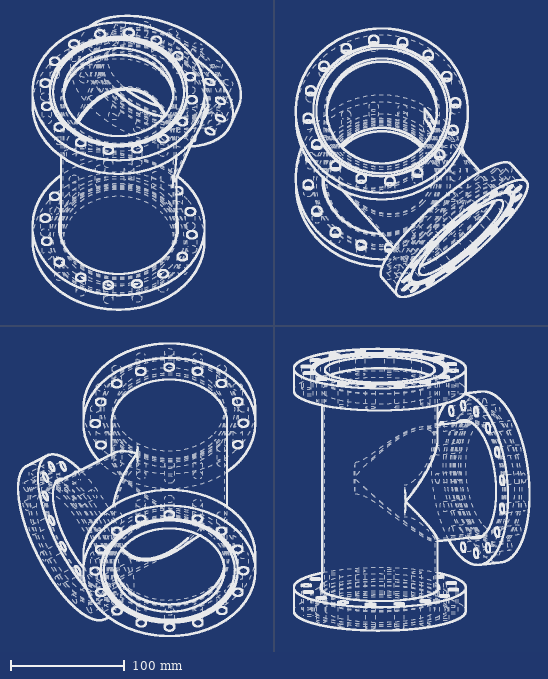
import cadquery as cq

port_reach = 109.5

tube_od = 101.6
tube_id = 97.5

flange_od = 151.5
flange_bore = 96.8
bolt_count = 16
bolt_circle = 130.3
bolt_hole = 8.5
knife_edge_od = 115.2
knife_recess = 1.0
knife_drop = 0.96
tube_socket_id = 101.9
tube_setback = 11.2

fixed_thickness = 20.0
gasket_recess_od = 120.7

ring_thickness = 21.2
ring_seat_id = 120.7
ring_neck_id = 104.7
ring_lip = 6.8
insert_od = 120.5

tube_end = port_reach - tube_setback
knife_tip = port_reach - knife_recess
knife_root = knife_tip - knife_drop
fixed_back = port_reach - fixed_thickness
ring_back = port_reach - ring_thickness
insert_back = ring_back + ring_lip

LOWER = 180
BRANCH = -90


def cylinder(diameter, start, end):
    """Round bar along +Z between two heights."""
    return cq.Workplane("XY").workplane(offset=start).circle(diameter / 2).extrude(end - start)


def to_port(body, angle):
    """Turn a body built on the +Z port onto another port."""
    return body.rotate((0, 0, 0), (1, 0, 0), angle)


def revolve_section(points):
    """Revolve a closed (radius, height) half section about the port axis."""
    return cq.Workplane("XZ").polyline(points).close().revolve(360, (0, 0, 0), (0, 1, 0))


def bolt_holes(start):
    """Through-hole cutters from a flange's rear face; the pattern straddles the X and Y axes."""
    return (
        cq.Workplane("XY").workplane(offset=start)
        .polarArray(bolt_circle / 2, 180 / bolt_count, 360, bolt_count)
        .circle(bolt_hole / 2)
        .extrude(port_reach - start)
    )


def make_run_tube():
    """Straight tube with an opening, from its axis outward, that fits the branch tube."""
    tube = cylinder(tube_od, -tube_end, tube_end).cut(cylinder(tube_id, -tube_end, tube_end))
    return tube.cut(to_port(cylinder(tube_od, 0, tube_end), BRANCH))


def make_branch_tube():
    """Branch tube whose inner end is trimmed flush with the bore of the run tube."""
    tube = cylinder(tube_od, 0, tube_end).cut(cylinder(tube_id, 0, tube_end))
    return to_port(tube, BRANCH).cut(cylinder(tube_id, -tube_end, tube_end))


def make_fixed_flange():
    """One-piece flange with the gasket recess and knife edge in its face."""
    flange = revolve_section([
        (flange_bore / 2, knife_tip),
        (knife_edge_od / 2, knife_tip),
        (gasket_recess_od / 2, knife_root),
        (gasket_recess_od / 2, port_reach),
        (flange_od / 2, port_reach),
        (flange_od / 2, fixed_back),
        (tube_socket_id / 2, fixed_back),
        (tube_socket_id / 2, tube_end),
        (flange_bore / 2, tube_end),
    ])
    return flange.cut(bolt_holes(fixed_back))


def make_bolt_ring():
    """Outer ring of a rotatable flange, stepped to retain the insert."""
    ring = revolve_section([
        (ring_seat_id / 2, port_reach),
        (flange_od / 2, port_reach),
        (flange_od / 2, ring_back),
        (ring_neck_id / 2, ring_back),
        (ring_neck_id / 2, insert_back),
        (ring_seat_id / 2, insert_back),
    ])
    return ring.cut(bolt_holes(ring_back))


def make_insert():
    """Knife-edge insert that sits inside a bolt ring and carries the tube end."""
    return revolve_section([
        (flange_bore / 2, knife_tip),
        (knife_edge_od / 2, knife_tip),
        (insert_od / 2, knife_root),
        (insert_od / 2, insert_back),
        (tube_socket_id / 2, insert_back),
        (tube_socket_id / 2, tube_end),
        (flange_bore / 2, tube_end),
    ])


run_tube = make_run_tube()
branch_tube = make_branch_tube()
fixed_flange = make_fixed_flange()
rotatable_ports = [LOWER, BRANCH]
bolt_rings = [to_port(make_bolt_ring(), angle) for angle in rotatable_ports]
inserts = [to_port(make_insert(), angle) for angle in rotatable_ports]

bodies = [run_tube, branch_tube, fixed_flange, *bolt_rings, *inserts]
result = cq.Compound.makeCompound([body.val() for body in bodies])